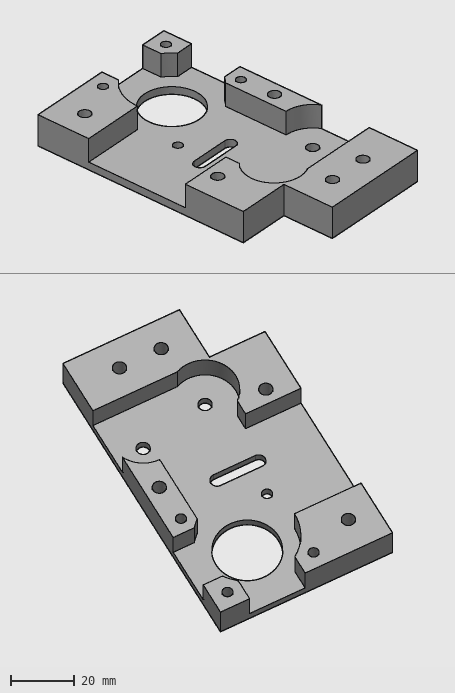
import cadquery as cq

length = 105.0
width = 62.0
floor_thickness = 3.0
total_height = 12.0
pad_height = total_height - floor_thickness
shoulder_x = 85.0
notch_depth = 20.0

motor_x = 21.0
motor_y = 41.0
bore_diameter = 22.5
motor_screw_diameter = 3.5
motor_screw_pitch = 31.0
motor_clearance_radius = 17.0
motor_channel_width = 20.0
motor_channel_near_offset = 9.5

back_pivot = (70.0, 52.0)
front_pivot = (75.0, 27.0)
pivots = [back_pivot, front_pivot]
pivot_clearance_radius = 11.0

screw_diameter = 4.5
pad_screws = [
    (11.0, 10.0),
    (50.0, 57.0),
    (66.0, 10.0),
    (95.0, 32.0),
    (95.0, 47.0),
]

slot_x = 48.5
slot_y = 29.5
slot_travel = 15.0
slot_width = screw_diameter
slot_angle = 90.0

channel_x_min = motor_x - motor_channel_near_offset
channel_x_max = channel_x_min + motor_channel_width
channel_y_min = motor_y - motor_channel_near_offset
channel_y_max = channel_y_min + motor_channel_width
back_pad_y = 52.0
front_right_pad_length = 24.0


def block(x_min, y_min, x_max, y_max, z_min, height):
    """Box given by two opposite plan corners, a bottom level and a height."""
    return cq.Workplane("XY").box(
        x_max - x_min, y_max - y_min, height, centered=False
    ).translate((x_min, y_min, z_min))


def pad(x_min, y_min, x_max, y_max):
    """Raised pad standing on the floor of the plate."""
    return block(x_min, y_min, x_max, y_max, floor_thickness, pad_height)


def clearance(center, radius):
    """Round cut that removes pad material down to the floor."""
    return (
        cq.Workplane("XY", origin=(0, 0, floor_thickness))
        .pushPoints([center])
        .circle(radius)
        .extrude(pad_height)
    )


def through_holes(points, diameter):
    """Cylinders that pass through the full height of the part."""
    return cq.Workplane("XY").pushPoints(points).circle(diameter / 2).extrude(total_height)


def make_floor():
    plate = block(0, 0, length, width, 0, floor_thickness)
    notch = block(shoulder_x, 0, length, notch_depth, 0, floor_thickness)
    return plate.cut(notch)


def make_pads():
    pads = pad(0, 0, motor_x, channel_y_min)
    pads = pads.union(pad(0, channel_y_max, channel_x_min, width))
    pads = pads.union(pad(channel_x_max, back_pad_y, back_pivot[0], width))
    pads = pads.union(pad(shoulder_x - front_right_pad_length, 0, shoulder_x, notch_depth))
    pads = pads.union(pad(shoulder_x, notch_depth, length, width))
    pads = pads.union(pad(front_pivot[0], notch_depth, shoulder_x, front_pivot[1]))
    pads = pads.cut(clearance((motor_x, motor_y), motor_clearance_radius))
    for pivot in pivots:
        pads = pads.cut(clearance(pivot, pivot_clearance_radius))
    return pads


def make_slot():
    return (
        cq.Workplane("XY")
        .center(slot_x, slot_y)
        .slot2D(slot_travel + slot_width, slot_width, slot_angle)
        .extrude(floor_thickness)
    )


half_pitch = motor_screw_pitch / 2
motor_screws = [
    (motor_x + side_x * half_pitch, motor_y + side_y * half_pitch)
    for side_x in (-1, 1)
    for side_y in (-1, 1)
]

result = make_floor().union(make_pads())
result = result.cut(through_holes([(motor_x, motor_y)], bore_diameter))
result = result.cut(through_holes(motor_screws, motor_screw_diameter))
result = result.cut(through_holes(pivots + pad_screws, screw_diameter))
result = result.cut(make_slot())